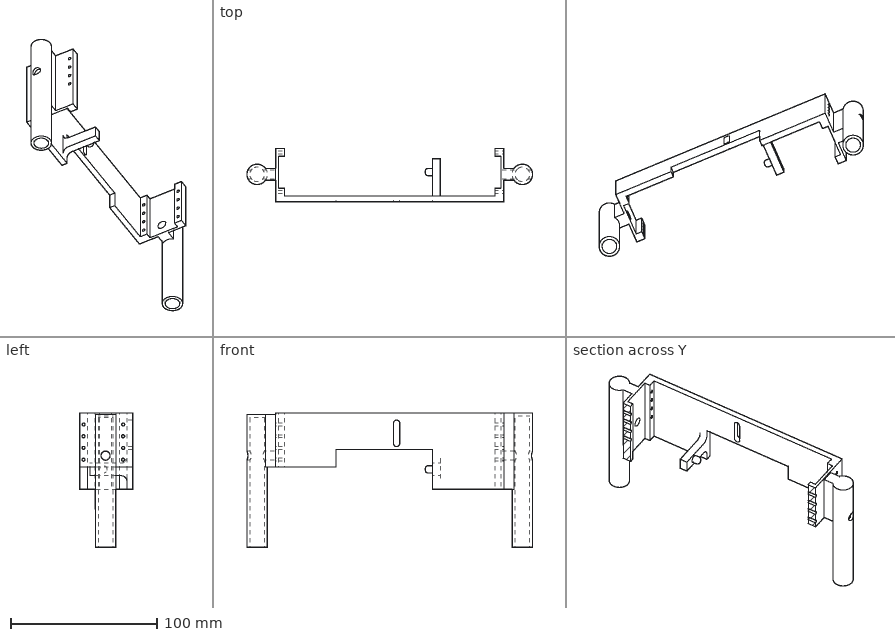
import cadquery as cq

total_length = 195.5
total_height = 92.0
frame_depth = 36.5

frame_length = 156.0
plate_thickness = 4.1
left_bottom = 55.0
middle_bottom = 66.9
right_bottom = 39.7
left_step_x = -36.8
right_step_x = 29.1

slot_x = 4.7
slot_width = 4.1
slot_length = 18.0
slot_center_z = 78.0

wall_thickness = 2.0
lip_width = 6.0
rear_lip_depth = 5.5
front_lip_depth = 5.3

lip_hole_diameter = 2.0
lip_hole_pitch = 8.0
lip_hole_count = 4
lowest_lip_hole_z = 60.0

post_diameter = 14.0
post_y = 18.8
post_bore_diameter = 10.0
neck_width = 8.2
left_post_top_drop = 1.2
cross_hole_diameter = 6.0
cross_hole_z = 62.8

arm_thickness = 5.5
arm_end_y = 29.5
arm_height = 8.6
arm_fillet = 4.1
pin_diameter = 5.0
pin_length = 4.9
pin_tip_fillet = 2.0
pin_y = 20.3
pin_z = 53.4

frame_half = frame_length / 2
post_cap_thickness = (post_diameter - post_bore_diameter) / 2
post_x = (total_length - post_diameter) / 2


def box(x_range, y_range, z_range):
    """Box spanning the given (low, high) range along each axis."""
    ranges = (x_range, y_range, z_range)
    sizes = [high - low for low, high in ranges]
    corner = tuple(low for low, high in ranges)
    return cq.Workplane("XY").box(*sizes, centered=False).translate(corner)


def cross_cylinder(diameter, y, z):
    """Cylinder along X over the whole part length and a little beyond."""
    return (
        cq.Workplane("YZ")
        .center(y, z)
        .circle(diameter / 2)
        .extrude(1.1 * total_length / 2, both=True)
    )


def make_front_plate():
    outline = [
        (-frame_half, total_height),
        (-frame_half, left_bottom),
        (left_step_x, left_bottom),
        (left_step_x, middle_bottom),
        (right_step_x, middle_bottom),
        (right_step_x, right_bottom),
        (frame_half, right_bottom),
        (frame_half, total_height),
    ]
    plate = cq.Workplane("XZ").polyline(outline).close().extrude(-plate_thickness)
    slot = (
        cq.Workplane("XZ")
        .center(slot_x, slot_center_z)
        .slot2D(slot_length, slot_width, 90)
        .extrude(-plate_thickness)
    )
    return plate.cut(slot)


def make_end(side, bottom, post_top):
    """Lipped wall, neck and bored post; side is -1 for left and +1 for right."""

    def x_range(inner, outer):
        return tuple(sorted((side * inner, side * outer)))

    wall_z = (bottom, total_height)
    lip_x = x_range(frame_half - lip_width, frame_half)
    wall = box(x_range(frame_half - wall_thickness, frame_half), (0, frame_depth), wall_z)
    front_lip = box(lip_x, (0, plate_thickness + front_lip_depth), wall_z)
    rear_lip = box(lip_x, (frame_depth - rear_lip_depth, frame_depth), wall_z)
    neck_y = (post_y - neck_width / 2, post_y + neck_width / 2)
    neck = box(x_range(frame_half, post_x), neck_y, (bottom, post_top))
    post = (
        cq.Workplane("XY")
        .center(side * post_x, post_y)
        .circle(post_diameter / 2)
        .extrude(post_top)
    )
    bore = (
        cq.Workplane("XY")
        .center(side * post_x, post_y)
        .circle(post_bore_diameter / 2)
        .extrude(post_top - post_cap_thickness)
    )
    return wall.union(front_lip).union(rear_lip).union(neck).union(post).cut(bore)


def make_pin_arm():
    """Arm flaring into the plate through concave fillets above and below."""
    low_z = pin_z - arm_height / 2
    high_z = pin_z + arm_height / 2
    flare_y = plate_thickness + arm_fillet
    arm = (
        cq.Workplane("YZ", origin=(right_step_x, 0, 0))
        .moveTo(plate_thickness, low_z - arm_fillet)
        .lineTo(plate_thickness, high_z + arm_fillet)
        .radiusArc((flare_y, high_z), -arm_fillet)
        .lineTo(arm_end_y, high_z)
        .lineTo(arm_end_y, low_z)
        .lineTo(flare_y, low_z)
        .radiusArc((plate_thickness, low_z - arm_fillet), -arm_fillet)
        .close()
        .extrude(arm_thickness)
    )
    pin = (
        cq.Workplane("YZ", origin=(right_step_x, 0, 0))
        .center(pin_y, pin_z)
        .circle(pin_diameter / 2)
        .extrude(-pin_length)
        .faces("<X")
        .edges()
        .fillet(pin_tip_fillet)
    )
    return arm.union(pin)


def make_lip_holes():
    front_lip_y = plate_thickness + front_lip_depth / 2
    rear_lip_y = frame_depth - rear_lip_depth / 2
    holes = cq.Workplane("XY")
    for y in (front_lip_y, rear_lip_y):
        for index in range(lip_hole_count):
            z = lowest_lip_hole_z + index * lip_hole_pitch
            holes = holes.add(cross_cylinder(lip_hole_diameter, y, z))
    return holes.combine()


result = (
    make_front_plate()
    .union(make_end(-1, left_bottom, total_height - left_post_top_drop))
    .union(make_end(1, right_bottom, total_height))
    .union(make_pin_arm())
    .cut(make_lip_holes())
    .cut(cross_cylinder(cross_hole_diameter, post_y, cross_hole_z))
)